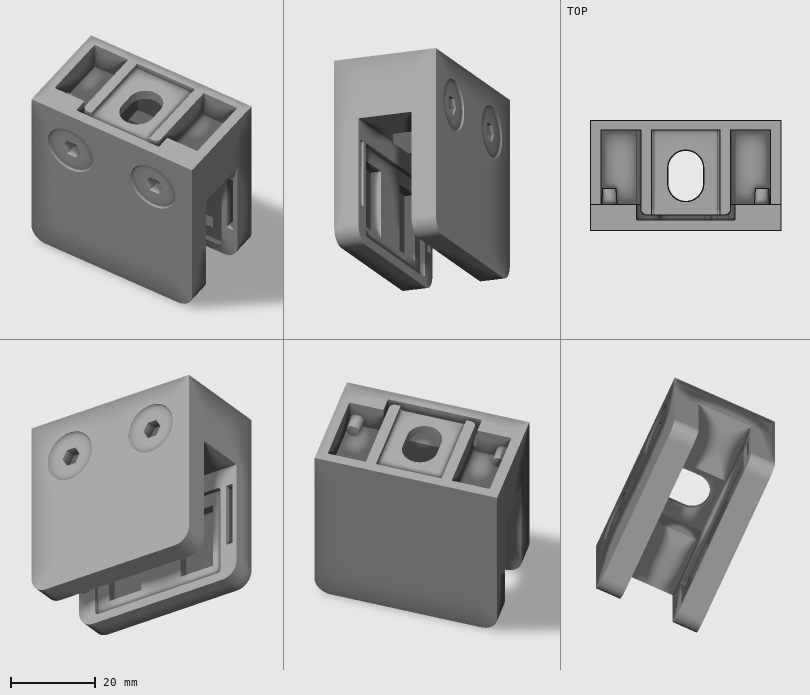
import cadquery as cq
import math


WIDTH = 45.0
DEPTH = 26.0
HEIGHT = 45.0
JAW_THICKNESS = 6.2
JAW_CORNER_RADIUS = 4.0
BLOCK_BOTTOM = 30.0
BACK_WALL = 2.3
PLATE_BACK = JAW_THICKNESS
JAW_FRONT = DEPTH - JAW_THICKNESS
POCKET_BACK = DEPTH - BACK_WALL

SIDE_WALL = 2.5
POCKET_INNER_X = 10.58
POCKET_DEPTH = 7.1
POCKET_FILLET = 1.05
POCKET_FLOOR = HEIGHT - POCKET_DEPTH
POCKET_OUTER_X = WIDTH / 2 - SIDE_WALL

TONGUE_LENGTH = 2.5
TONGUE_CORNER_RADIUS = 1.35
RECESS_WIDTH = 16.15
RECESS_DEPTH = 1.5
RECESS_FILLET = 0.6
WEB_THICKNESS = 2.65
SLOT_WIDTH = 8.4
SLOT_LENGTH = 12.05
SLOT_CENTRE_Y = 12.9
CAVITY_WIDTH = 15.85
WALL_FILLET = 0.4
TONGUE_FRONT = PLATE_BACK - TONGUE_LENGTH
WEB_TOP = HEIGHT - RECESS_DEPTH
WEB_BOTTOM = WEB_TOP - WEB_THICKNESS

PAD_WIDTH = 36.0
PAD_BOTTOM = 2.2
PAD_HEIGHT = 23.1
PAD_DEPTH = 1.3
PAD_CORNER_RADIUS = 1.0
WINDOW_INNER_X = 5.6
WINDOW_OUTER_X = 14.9
WINDOW_MARGIN = 3.38
SIDE_SLOT_X = 20.45
SIDE_SLOT_WIDTH = 1.8
SIDE_SLOT_BOTTOM = 9.1
SIDE_SLOT_HEIGHT = 16.0
SIDE_SLOT_DEPTH = JAW_THICKNESS - BACK_WALL
PAD_FLOOR = JAW_FRONT + PAD_DEPTH

PLATE_POCKET_WIDTH = 23.18
PLATE_POCKET_DEPTH = 3.7
PLATE_POCKET_FLOOR = 39.38
PLATE_POCKET_CORNER_RADIUS = 1.55
PLATE_POCKET_FILLET = 0.35
DIP_HALF_WIDTH = 6.0
DIP_RADIUS = 1.45

PIN_X = 18.0
PIN_BASE_RADIUS = 1.8
PIN_TIP_RADIUS = 1.58
PIN_LENGTH = 3.8
PIN_Z = POCKET_FLOOR + PIN_BASE_RADIUS

SCREW_X = 11.55
SCREW_Z = 34.0
SINK_RADIUS = 6.3
SINK_LIP = 0.22
HEAD_RADIUS = 6.05
SHANK_RADIUS = 3.0
SCREW_END_Y = 18.0
SOCKET_FLATS = 4.2
SOCKET_DEPTH = 3.0
HEAD_FRONT_Y = SINK_LIP + SINK_RADIUS - HEAD_RADIUS
HEAD_END_Y = SINK_LIP + SINK_RADIUS - SHANK_RADIUS

SIDES = (-1, 1)


def box(x_min, x_max, y_min, y_max, z_min, z_max):
    """Box between the given limits."""
    return cq.Workplane("XY").box(
        x_max - x_min, y_max - y_min, z_max - z_min, centered=False
    ).translate((x_min, y_min, z_min))


def side_box(side, inner_x, outer_x, y_min, y_max, z_min, z_max):
    """Box whose X limits are distances from the middle, on the -X or the +X side."""
    x_min, x_max = sorted((side * inner_x, side * outer_x))
    return box(x_min, x_max, y_min, y_max, z_min, z_max)


def jaw(y_min, y_max):
    """Full-height plate with rounded bottom corners."""
    plate = box(-WIDTH / 2, WIDTH / 2, y_min, y_max, 0, HEIGHT)
    return plate.edges("|Y and <Z").fillet(JAW_CORNER_RADIUS)


def screw_profile(start_y, start_radius):
    """45 degree cone and shank, revolved about the screw axis."""
    return (
        cq.Workplane("XY")
        .moveTo(0, start_y)
        .lineTo(start_radius, start_y)
        .lineTo(SHANK_RADIUS, HEAD_END_Y)
        .lineTo(SHANK_RADIUS, SCREW_END_Y)
        .lineTo(0, SCREW_END_Y)
        .close()
        .revolve(360, (0, 0, 0), (0, 1, 0))
    )


def screw_hole(side):
    """Countersunk hole shared by the front plate and the housing."""
    lip = cq.Workplane("XZ").circle(SINK_RADIUS).extrude(-SINK_LIP)
    hole = screw_profile(SINK_LIP, SINK_RADIUS).union(lip)
    return hole.translate((side * SCREW_X, 0, SCREW_Z))


def side_pocket(side):
    """Open-top pocket, rounded where its inner wall meets the floor."""
    pocket = side_box(
        side, POCKET_INNER_X, POCKET_OUTER_X, PLATE_BACK, POCKET_BACK, POCKET_FLOOR, HEIGHT
    )
    inner_edge = "|Y and <Z and >X" if side < 0 else "|Y and <Z and <X"
    return pocket.edges(inner_edge).fillet(POCKET_FILLET)


def tongue():
    """Front end of the bridge, standing in the pocket of the front plate."""
    block = box(-POCKET_INNER_X, POCKET_INNER_X, TONGUE_FRONT, PLATE_BACK, WEB_BOTTOM, HEIGHT)
    return block.edges("|Z and <Y").fillet(TONGUE_CORNER_RADIUS)


def top_recess():
    """Shallow recess on the bridge, open at the front and rounded along its side walls."""
    half = RECESS_WIDTH / 2
    recess = box(-half, half, TONGUE_FRONT, POCKET_BACK, WEB_TOP, HEIGHT)
    return recess.edges("|Y and <Z").fillet(RECESS_FILLET)


def slotted_hole():
    """Slot through the web of the bridge, long in Y."""
    return (
        cq.Workplane("XY", origin=(0, SLOT_CENTRE_Y, WEB_BOTTOM))
        .slot2D(SLOT_LENGTH, SLOT_WIDTH, 90)
        .extrude(WEB_THICKNESS)
    )


def cavity():
    """Hollow below the web, open downwards and to the front."""
    half = CAVITY_WIDTH / 2
    hollow = box(-half, half, PLATE_BACK, POCKET_BACK, BLOCK_BOTTOM, WEB_BOTTOM)
    return hollow.edges("|Z and >Y").fillet(WALL_FILLET)


def pad_recess():
    """Shallow recess in the inner face of the back jaw."""
    half = PAD_WIDTH / 2
    recess = box(-half, half, JAW_FRONT, PAD_FLOOR, PAD_BOTTOM, PAD_BOTTOM + PAD_HEIGHT)
    return recess.edges("|Y").fillet(PAD_CORNER_RADIUS)


def jaw_window(side):
    """Deeper blind window in the floor of the pad recess."""
    bottom = PAD_BOTTOM + WINDOW_MARGIN
    top = PAD_BOTTOM + PAD_HEIGHT - WINDOW_MARGIN
    window = side_box(side, WINDOW_INNER_X, WINDOW_OUTER_X, PAD_FLOOR, POCKET_BACK, bottom, top)
    return window.faces(">Y").edges().fillet(WALL_FILLET)


def side_slot(side):
    """Narrow blind slot beside the pad recess."""
    half = SIDE_SLOT_WIDTH / 2
    return side_box(
        side,
        SIDE_SLOT_X - half,
        SIDE_SLOT_X + half,
        JAW_FRONT,
        JAW_FRONT + SIDE_SLOT_DEPTH,
        SIDE_SLOT_BOTTOM,
        SIDE_SLOT_BOTTOM + SIDE_SLOT_HEIGHT,
    )


def make_housing():
    """Back jaw and top block in one piece."""
    block = box(-WIDTH / 2, WIDTH / 2, PLATE_BACK, JAW_FRONT, BLOCK_BOTTOM, HEIGHT)
    body = jaw(JAW_FRONT, DEPTH).union(block).union(tongue())
    body = body.cut(top_recess()).cut(slotted_hole()).cut(cavity()).cut(pad_recess())
    for side in SIDES:
        body = body.cut(side_pocket(side)).cut(jaw_window(side)).cut(side_slot(side))
        body = body.cut(screw_hole(side))
    return body


def plate_pocket():
    """Pocket for the tongue, with rounded corners and an S-shaped step down to a central dip."""
    half = PLATE_POCKET_WIDTH / 2
    corner = PLATE_POCKET_CORNER_RADIUS
    step_outer = DIP_HALF_WIDTH + DIP_RADIUS
    step_inner = DIP_HALF_WIDTH - DIP_RADIUS
    step_middle = PLATE_POCKET_FLOOR - DIP_RADIUS
    dip_floor = PLATE_POCKET_FLOOR - 2 * DIP_RADIUS
    pocket = (
        cq.Workplane("XZ", origin=(0, PLATE_BACK, 0))
        .moveTo(-half, HEIGHT)
        .lineTo(-half, PLATE_POCKET_FLOOR + corner)
        .radiusArc((-half + corner, PLATE_POCKET_FLOOR), -corner)
        .lineTo(-step_outer, PLATE_POCKET_FLOOR)
        .radiusArc((-DIP_HALF_WIDTH, step_middle), DIP_RADIUS)
        .radiusArc((-step_inner, dip_floor), -DIP_RADIUS)
        .lineTo(step_inner, dip_floor)
        .radiusArc((DIP_HALF_WIDTH, step_middle), -DIP_RADIUS)
        .radiusArc((step_outer, PLATE_POCKET_FLOOR), DIP_RADIUS)
        .lineTo(half - corner, PLATE_POCKET_FLOOR)
        .radiusArc((half, PLATE_POCKET_FLOOR + corner), -corner)
        .lineTo(half, HEIGHT)
        .close()
        .extrude(PLATE_POCKET_DEPTH)
    )
    return pocket.faces("<Y").edges("not >Z").fillet(PLATE_POCKET_FILLET)


def locating_pin(side):
    """Tapered pin on the back of the front plate."""
    return cq.Workplane(
        cq.Solid.makeCone(
            PIN_BASE_RADIUS,
            PIN_TIP_RADIUS,
            PIN_LENGTH,
            cq.Vector(side * PIN_X, PLATE_BACK, PIN_Z),
            cq.Vector(0, 1, 0),
        )
    )


def make_front_plate():
    """Front jaw with the tongue pocket, the locating pins and the countersunk holes."""
    plate = jaw(0, PLATE_BACK).cut(plate_pocket())
    for side in SIDES:
        plate = plate.union(locating_pin(side)).cut(screw_hole(side))
    return plate


def make_screw(side):
    """Countersunk screw with a hexagon socket, two flats of which are level."""
    corner_diameter = SOCKET_FLATS / math.cos(math.pi / 6)
    socket = (
        cq.Workplane("XZ", origin=(0, HEAD_FRONT_Y, 0))
        .polygon(6, corner_diameter)
        .extrude(-SOCKET_DEPTH)
    )
    screw = screw_profile(HEAD_FRONT_Y, HEAD_RADIUS).cut(socket)
    return screw.translate((side * SCREW_X, 0, SCREW_Z))


housing = make_housing()
front_plate = make_front_plate()
screws = [make_screw(side) for side in SIDES]

result = cq.Compound.makeCompound(
    [housing.val(), front_plate.val(), *[screw.val() for screw in screws]]
)